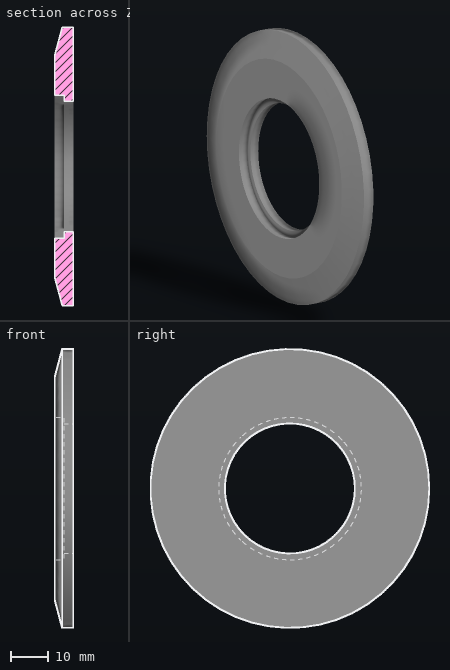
import cadquery as cq

outer_diameter = 74.9
thickness = 5.1

face_diameter = 59.8
bevel_depth = 2.0

bore_diameter = 34.85
recess_diameter = 38.3
recess_depth = 2.55

outer_radius = outer_diameter / 2
front_x = -thickness / 2
back_x = thickness / 2
recess_floor_x = front_x + recess_depth

section = (
    cq.Workplane("XY")
    .moveTo(front_x, recess_diameter / 2)
    .lineTo(front_x, face_diameter / 2)
    .lineTo(front_x + bevel_depth, outer_radius)
    .lineTo(back_x, outer_radius)
    .lineTo(back_x, bore_diameter / 2)
    .lineTo(recess_floor_x, bore_diameter / 2)
    .lineTo(recess_floor_x, recess_diameter / 2)
    .close()
)

result = section.revolve(360, (0, 0, 0), (1, 0, 0))